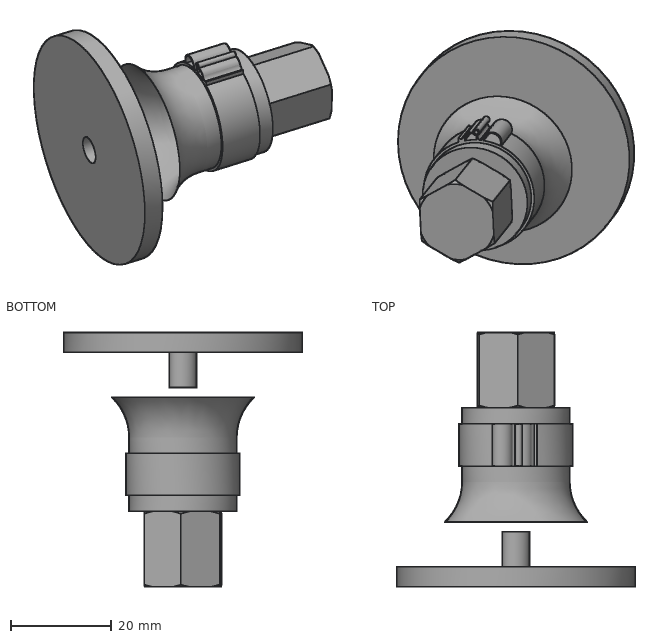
import cadquery as cq
import math


plate_diameter = 47.56
plate_thickness = 4.0
pin_diameter = 5.45
pin_tip_y = 11.0
blind_hole_diameter = pin_diameter
plate_web = 0.15

mouth_y = 12.9
mouth_radius = 14.2
bell_length = 8.0
collar_radius = 21.5 / 2
shank_length = 15.0
overall_length = 50.67
bore_radius = 10.0
bore_end_wall = 1.0

hex_across_flats = 15.0
hex_turn = 2.65
hex_end_radius = 7.9
hex_chamfer_slope = math.tan(math.radians(30))

band_radius = 22.7 / 2
band_front_y = 24.05
band_width = 8.4
strip_wall = 0.25

loop_center = (-2.7, 11.2)
loop_radius = 2.0
loop_root_fillet = 0.5

catch_center = (1.4, 11.05)
catch_radius = 1.8
catch_arc_end = 57.0
post_foot = (-0.3, 11.3)
post_mid = (0.15, 11.65)
post_top = (0.3, 12.4)
roll_center = (0.57, 12.92)
roll_radius = 0.67
tail_mid = (3.22, 11.55)
tail_low = (3.7, 11.2)
tail_tip = (4.2, 11.4)
tail_root_x = 4.3
catch_root_sink = 0.6

bell_end_y = mouth_y + bell_length
shank_start_y = overall_length - shank_length
bore_floor_y = shank_start_y - bore_end_wall
band_end_y = band_front_y + band_width
root_z = collar_radius - catch_root_sink


def disc(radius, start_y, end_y, center=(0, 0)):
    """Solid cylinder along Y, centred on an (X, Z) point."""
    plane = cq.Workplane("XZ", origin=(0, start_y, 0))
    return plane.center(*center).circle(radius).extrude(start_y - end_y)


def band_plane():
    """Sketch plane at the front edge of the band."""
    return cq.Workplane("XZ", origin=(0, band_front_y, 0))


def across_band(sketch):
    """Extrude a closed outline over the width of the band."""
    return sketch.extrude(-band_width)


def band_disc(radius, center=(0, 0)):
    return disc(radius, band_front_y, band_end_y, center)


def make_plate():
    plate = disc(plate_diameter / 2, 0, plate_thickness)
    plate = plate.union(disc(pin_diameter / 2, plate_thickness, pin_tip_y))
    return plate.cut(disc(blind_hole_diameter / 2, 0, plate_thickness - plate_web))


def flare_mid_point(throat_radius):
    """Middle of the arc that leaves the throat along the axis and ends on the mouth rim."""
    flare = mouth_radius - throat_radius
    arc_radius = (bell_length**2 + flare**2) / (2 * flare)
    half_angle = math.asin(bell_length / arc_radius) / 2
    return (
        throat_radius + arc_radius * (1 - math.cos(half_angle)),
        bell_end_y - arc_radius * math.sin(half_angle),
    )


def make_bell_and_collar():
    return (
        cq.Workplane("XY")
        .moveTo(0, bore_floor_y)
        .lineTo(bore_radius, bore_floor_y)
        .lineTo(bore_radius, bell_end_y)
        .threePointArc(flare_mid_point(bore_radius), (mouth_radius, mouth_y))
        .threePointArc(flare_mid_point(collar_radius), (collar_radius, bell_end_y))
        .lineTo(collar_radius, shank_start_y)
        .lineTo(0, shank_start_y)
        .close()
        .revolve(360, (0, 0, 0), (0, 1, 0))
    )


def make_shank():
    corner_radius = hex_across_flats / math.sqrt(3)
    chamfer_length = (corner_radius - hex_end_radius) * hex_chamfer_slope
    prism = (
        cq.Workplane("XZ", origin=(0, shank_start_y, 0))
        .polygon(6, 2 * corner_radius)
        .extrude(-shank_length)
        .rotate((0, 0, 0), (0, 1, 0), hex_turn - 90)
    )
    corner_cones = (
        cq.Workplane("XY")
        .moveTo(0, shank_start_y)
        .lineTo(hex_end_radius, shank_start_y)
        .lineTo(corner_radius, shank_start_y + chamfer_length)
        .lineTo(corner_radius, overall_length - chamfer_length)
        .lineTo(hex_end_radius, overall_length)
        .lineTo(0, overall_length)
        .close()
        .revolve(360, (0, 0, 0), (0, 1, 0))
    )
    return prism.intersect(corner_cones)


def make_band_with_loop():
    """Closed band carrying a hollow loop of strip, rounded into the band on its right."""
    band = band_disc(band_radius)
    collar_core = band_disc(collar_radius)
    loop = band_disc(loop_radius, loop_center)
    loop_bore = band_disc(loop_radius - strip_wall, loop_center)
    right_root = cq.selectors.BoxSelector(
        (loop_center[0] + loop_radius / 2, band_front_y, loop_center[1] - loop_radius / 2),
        (loop_center[0] + 2 * loop_radius, band_end_y, loop_center[1] + loop_radius / 2),
    )
    solid = band.union(loop).edges("|Y").edges(right_root).fillet(loop_root_fillet)
    return solid.cut(loop_bore.cut(band)).cut(collar_core)


def make_catch():
    """Strip that stands up beside the loop, rolls over and runs down to a raised tail."""

    def arc_point(angle):
        turn = math.radians(angle)
        return (
            catch_center[0] + catch_radius * math.sin(turn),
            catch_center[1] + catch_radius * math.cos(turn),
        )

    catch = across_band(
        band_plane()
        .moveTo(post_foot[0], root_z)
        .lineTo(*post_foot)
        .threePointArc(post_mid, post_top)
        .lineTo(*roll_center)
        .lineTo(*arc_point(0))
        .threePointArc(arc_point(catch_arc_end / 2), arc_point(catch_arc_end))
        .threePointArc(tail_mid, tail_low)
        .lineTo(*tail_tip)
        .lineTo(tail_root_x, root_z)
        .close()
    )
    window = band_disc(catch_radius - strip_wall, catch_center)
    right_of_post = across_band(
        band_plane()
        .moveTo(post_top[0] + strip_wall, 0)
        .rect(collar_radius, 2 * collar_radius, centered=False)
    )
    window = window.intersect(right_of_post)
    roll = band_disc(roll_radius, roll_center)
    roll_bore = band_disc(roll_radius - strip_wall, roll_center)
    return catch.cut(window).union(roll).cut(roll_bore)


plate = make_plate()
knob = (
    make_bell_and_collar()
    .union(make_shank())
    .union(make_catch())
    .union(make_band_with_loop())
)

result = cq.Compound.makeCompound([plate.val(), knob.val()])